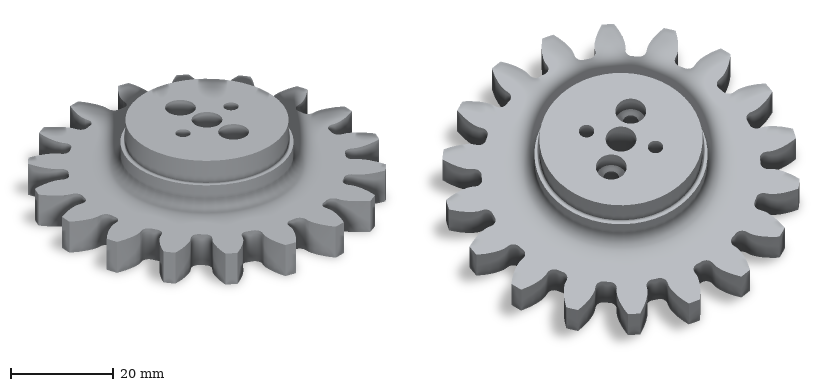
import cadquery as cq
import math

tooth_count = 18
tip_diameter = 70.0
pressure_angle = math.radians(20)
root_clearance_factor = 1.2
root_fillet = 1.5
flank_steps = 8
gear_thickness = 7.0

total_height = 17.0
shoulder_diameter = 33.9
shoulder_fillet = 2.0
hub_diameter = 31.9
hub_height = 5.0

bore_diameter = 6.0
bolt_circle_diameter = 14.0
bolt_hole_diameter = 3.0
counterbore_diameter = 6.0
counterbore_depth = 3.5

gear_module = tip_diameter / (tooth_count + 2)
pitch_radius = gear_module * tooth_count / 2
tip_radius = tip_diameter / 2
base_radius = pitch_radius * math.cos(pressure_angle)
root_radius = pitch_radius - root_clearance_factor * gear_module
tooth_pitch_angle = 2 * math.pi / tooth_count
shoulder_height = total_height - gear_thickness - hub_height


def polar(radius, angle):
    return (radius * math.cos(angle), radius * math.sin(angle))


def involute(angle):
    return math.tan(angle) - angle


def half_tooth_angle(radius):
    """Half of the angle a tooth spans at a radius on its involute flank."""
    flank_angle = math.acos(min(1.0, base_radius / radius))
    return tooth_pitch_angle / 4 + involute(pressure_angle) - involute(flank_angle)


def flank_points(tooth_angle, side):
    """Points on one involute flank, from base circle to tip; side is -1 or 1."""
    tip_roll = math.sqrt((tip_radius / base_radius) ** 2 - 1)
    rolls = [tip_roll * i / flank_steps for i in range(flank_steps + 1)]
    radii = [base_radius * math.hypot(1, roll) for roll in rolls]
    return [polar(radius, tooth_angle + side * half_tooth_angle(radius)) for radius in radii]


def toothed_disc():
    """Gear disc with radial flanks below the base circle and filleted roots."""
    root_half_angle = half_tooth_angle(base_radius)
    outline = cq.Workplane("XY").moveTo(*polar(root_radius, -root_half_angle))
    for i in range(tooth_count):
        tooth_angle = i * tooth_pitch_angle
        rising_flank = flank_points(tooth_angle, -1)
        falling_flank = flank_points(tooth_angle, 1)[::-1]
        gap_middle = tooth_angle + tooth_pitch_angle / 2
        next_root = tooth_angle + tooth_pitch_angle - root_half_angle
        outline = (
            outline.lineTo(*rising_flank[0])
            .spline(rising_flank[1:], includeCurrent=True)
            .threePointArc(polar(tip_radius, tooth_angle), falling_flank[0])
            .spline(falling_flank[1:], includeCurrent=True)
            .lineTo(*polar(root_radius, tooth_angle + root_half_angle))
            .threePointArc(polar(root_radius, gap_middle), polar(root_radius, next_root))
        )
    disc = outline.close().extrude(gear_thickness)
    corner_limit = (root_radius + base_radius) / 2
    root_corners = disc.edges("|Z").filter(
        lambda edge: math.hypot(edge.Center().x, edge.Center().y) < corner_limit
    )
    return root_corners.fillet(root_fillet)


def hub():
    """Revolved hub profile: concave fillet, shoulder, then the smaller top step."""
    shoulder_radius = shoulder_diameter / 2
    hub_radius = hub_diameter / 2
    shoulder_top = gear_thickness + shoulder_height
    fillet_sag = shoulder_fillet * (1 - math.sqrt(0.5))
    return (
        cq.Workplane("XZ")
        .moveTo(0, 0)
        .lineTo(shoulder_radius + shoulder_fillet, 0)
        .lineTo(shoulder_radius + shoulder_fillet, gear_thickness)
        .threePointArc(
            (shoulder_radius + fillet_sag, gear_thickness + fillet_sag),
            (shoulder_radius, gear_thickness + shoulder_fillet),
        )
        .lineTo(shoulder_radius, shoulder_top)
        .lineTo(hub_radius, shoulder_top)
        .lineTo(hub_radius, total_height)
        .lineTo(0, total_height)
        .close()
        .revolve(360, (0, 0, 0), (0, 1, 0))
    )


def drill_holes(body):
    """Central bore, two plain holes along Y and two counterbored holes along X."""
    offset = bolt_circle_diameter / 2
    body = body.faces(">Z").workplane(origin=(0, 0, 0)).hole(bore_diameter)
    body = (
        body.faces(">Z")
        .workplane(origin=(0, 0, 0))
        .pushPoints([(0, -offset), (0, offset)])
        .hole(bolt_hole_diameter)
    )
    return (
        body.faces(">Z")
        .workplane(origin=(0, 0, 0))
        .pushPoints([(-offset, 0), (offset, 0)])
        .cboreHole(bolt_hole_diameter, counterbore_diameter, counterbore_depth)
    )


result = drill_holes(toothed_disc().union(hub()))